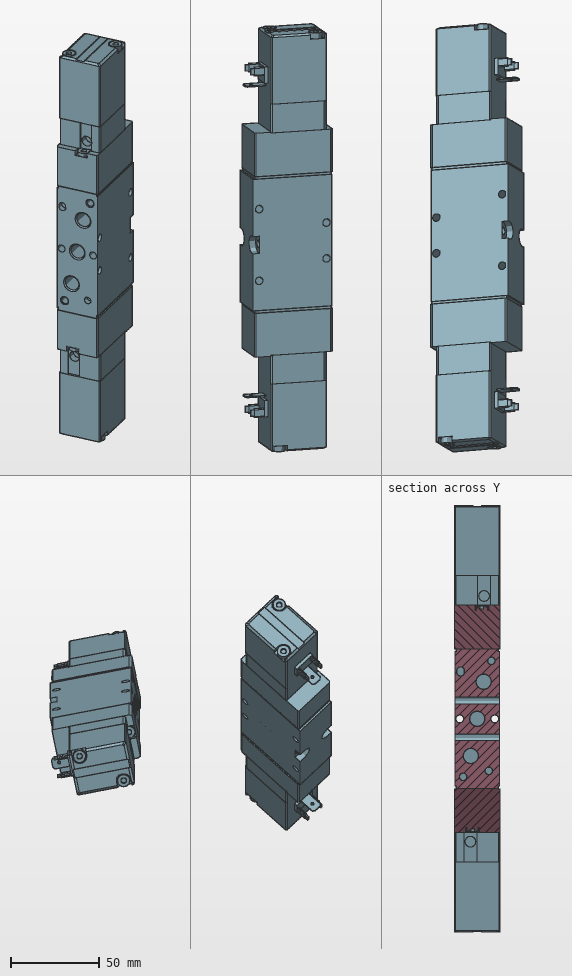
import cadquery as cq

OVERALL_LENGTH = 242.0
HALF_LENGTH = OVERALL_LENGTH / 2

VALVE_WIDTH = 25.5
VALVE_FRONT_Y = -23.7
VALVE_BACK_Y = 23.0
VALVE_HALF_LENGTH = 38.2
NECK_WIDTH = 24.0
NECK_BACK_Y = 21.8

PORT_DIAMETER = 8.5
PORT_CHAMFER = 0.7
PORT_DEPTH = 12.0
PORT_SHIFT_X = 3.6
PORT_PITCH_Z = 21.0

PILOT_PORT_DIAMETER = 4.0
PILOT_PORT_CHAMFER = 0.5
PILOT_PORT_DEPTH = 7.3
PILOT_PORT_X = 8.0
PILOT_PORT_Z = 33.0

LOCATOR_DIAMETER = 4.0
LOCATOR_DEPTH = 3.6
LOCATOR_SLOT_LENGTH = 5.0
LOCATOR_SLOT_X = -9.5
LOCATOR_SLOT_Z = 26.9
LOCATOR_HOLE_X = 6.5
LOCATOR_HOLE_Z = -29.5

MOUNT_HOLE_DIAMETER = 4.4
FRONT_MOUNT_X = 10.0
SIDE_MOUNT_FRONT = (-20.5, 10.5)
SIDE_MOUNT_BACK = (19.4, 20.8)

RECESS_WIDTH = 10.0
RECESS_DEPTH = 3.9

PILOT_WIDTH = 26.0
BASE_START_Z = 39.7
BASE_END_Z = 64.5
BASE_FRONT_Y = -24.2
BASE_BACK_Y = 22.0
BASE_BACK_CHAMFER = 0.7
FRONT_CHAMFER_X = 0.7
FRONT_CHAMFER_Y = 1.5
LEDGE_RISE = 0.5

COIL_START_Z = 81.3
COIL_FRONT_Y = -20.8
COIL_BACK_Y = 12.3
COIL_CENTRE_Y = (COIL_FRONT_Y + COIL_BACK_Y) / 2
COIL_EDGE_CHAMFER = 0.7
COIL_END_CHAMFER = 1.0
COIL_END_INSET = 1.5
COLLAR_WIDTH = 25.7
COLLAR_FRONT_Y = -20.5
END_GROOVE_WIDTH = 5.0
END_GROOVE_DEPTH = 0.5

OVERRIDE_GROOVE_X = 3.9
OVERRIDE_GROOVE_WIDTH = 7.3
OVERRIDE_GROOVE_DEPTH = 1.2
OVERRIDE_DIAMETER = 6.0
OVERRIDE_DEPTH = 4.8
OVERRIDE_Z = 69.7

SCREW_HEAD_DIAMETER = 7.0
SCREW_SOCKET_DIAMETER = 3.1
SCREW_SOCKET_DEPTH = 1.5
COIL_SCREW_X = 9.5
COIL_SCREW_OFFSET_Y = 11.0
COIL_POCKET_WIDTH = 8.2
COIL_POCKET_DEPTH = 3.5
BASE_SCREW_X = 2.7
BASE_SCREW_Y = -20.5
BASE_POCKET_WIDTH = 7.5
BASE_POCKET_DEPTH = 3.0
BASE_SCREW_HEIGHT = 2.2

PAD_WIDTH = 12.5
PAD_BACK_Y = 14.3
PAD_START_Z = 92.2
PIN_Z = 99.2
PIN_X = 5.3
PIN_THICKNESS = 1.7
PIN_HEIGHT = 5.0
PIN_CHAMFER = 0.6
PIN_SHOULDER_Y = 20.0
PIN_TIP_Y = 22.3
PIN_TIP_HEIGHT = 3.6
PIN_TIP_THICKNESS = 1.0
EARTH_WIDTH = 6.5
EARTH_TIP_WIDTH = 3.6
EARTH_TIP_Y = 24.5
EARTH_SHOULDER_Y = 23.5
EARTH_Z = 90.3
EARTH_THICKNESS = 0.7
EARTH_HOLE_DIAMETER = 1.6
EARTH_HOLE_Y = 20.3


def box(x_range, y_range, z_range):
    """Box filling the given ranges."""
    sizes = [high - low for low, high in (x_range, y_range, z_range)]
    corner = (x_range[0], y_range[0], z_range[0])
    return cq.Workplane("XY").box(*sizes, centered=False).translate(corner)


def centred(width, centre=0.0):
    """Range of the given width about a centre."""
    return (centre - width / 2, centre + width / 2)


def cylinder(diameter, start, direction, length):
    """Round bar from a start point along a direction."""
    solid = cq.Solid.makeCylinder(diameter / 2, length, cq.Vector(*start), cq.Vector(*direction))
    return cq.Workplane(obj=solid)


def front_hole(x, z, diameter, depth, chamfer=0.0):
    """Cutter for a hole from the valve's port face, with an optional countersink."""
    start = (x, VALVE_FRONT_Y, z)
    cutter = cylinder(diameter, start, (0, 1, 0), depth)
    if chamfer:
        radius = diameter / 2
        cone = cq.Solid.makeCone(
            radius + chamfer, radius, chamfer, cq.Vector(*start), cq.Vector(0, 1, 0)
        )
        cutter = cutter.union(cq.Workplane(obj=cone))
    return cutter


def make_valve():
    """Valve block with its end necks, ports, mounting holes and back recesses."""
    x_range = centred(VALVE_WIDTH)
    left = x_range[0]
    valve = box(x_range, (VALVE_FRONT_Y, VALVE_BACK_Y), (-VALVE_HALF_LENGTH, VALVE_HALF_LENGTH))
    valve = valve.union(
        box(centred(NECK_WIDTH), (VALVE_FRONT_Y, NECK_BACK_Y), (-BASE_START_Z, BASE_START_Z))
    )

    for step in (-1, 0, 1):
        valve = valve.cut(
            front_hole(step * PORT_SHIFT_X, step * PORT_PITCH_Z, PORT_DIAMETER, PORT_DEPTH, PORT_CHAMFER)
        )
    for side in (-1, 1):
        valve = valve.cut(
            front_hole(
                side * PILOT_PORT_X,
                side * PILOT_PORT_Z,
                PILOT_PORT_DIAMETER,
                PILOT_PORT_DEPTH,
                PILOT_PORT_CHAMFER,
            )
        )

    half_travel = (LOCATOR_SLOT_LENGTH - LOCATOR_DIAMETER) / 2
    slot_z = (LOCATOR_SLOT_Z - half_travel, LOCATOR_SLOT_Z + half_travel)
    valve = valve.cut(
        box(
            centred(LOCATOR_DIAMETER, LOCATOR_SLOT_X),
            (VALVE_FRONT_Y, VALVE_FRONT_Y + LOCATOR_DEPTH),
            slot_z,
        )
    )
    for z in slot_z:
        valve = valve.cut(front_hole(LOCATOR_SLOT_X, z, LOCATOR_DIAMETER, LOCATOR_DEPTH))
    valve = valve.cut(front_hole(LOCATOR_HOLE_X, LOCATOR_HOLE_Z, LOCATOR_DIAMETER, LOCATOR_DEPTH))

    for side in (-1, 1):
        valve = valve.cut(
            front_hole(side * FRONT_MOUNT_X, 0, MOUNT_HOLE_DIAMETER, VALVE_BACK_Y - VALVE_FRONT_Y)
        )
        for y, z in (SIDE_MOUNT_FRONT, SIDE_MOUNT_BACK):
            valve = valve.cut(
                cylinder(MOUNT_HOLE_DIAMETER, (left, y, side * z), (1, 0, 0), VALVE_WIDTH)
            )

    recess_floor_y = VALVE_BACK_Y - RECESS_DEPTH
    for side in (-1, 1):
        x = side * FRONT_MOUNT_X
        x_range = tuple(sorted((x, side * VALVE_WIDTH / 2)))
        recess = box(x_range, (recess_floor_y, VALVE_BACK_Y), centred(RECESS_WIDTH))
        round_end = cylinder(RECESS_WIDTH, (x, recess_floor_y, 0), (0, 1, 0), RECESS_DEPTH)
        valve = valve.cut(recess).cut(round_end)
    return valve


def chamfer_front_edges(block):
    """Bevel the upright front edges, deeper along Y than along X."""
    bounds = block.val().BoundingBox()
    half_width = bounds.xmax
    front = bounds.ymin
    for side in (-1, 1):
        bevel = (
            cq.Workplane("XY", origin=(0, 0, bounds.zmin))
            .polyline([
                (side * half_width, front),
                (side * (half_width - FRONT_CHAMFER_X), front),
                (side * half_width, front + FRONT_CHAMFER_Y),
            ])
            .close()
            .extrude(bounds.zmax - bounds.zmin)
        )
        block = block.cut(bevel)
    return block


def make_base():
    """Wide block of the operator that meets the valve."""
    x_range = centred(PILOT_WIDTH)
    base = box(x_range, (BASE_FRONT_Y, BASE_BACK_Y), (BASE_START_Z, BASE_END_Z))
    ledge = box(x_range, (COIL_BACK_Y, BASE_BACK_Y), (BASE_END_Z, BASE_END_Z + LEDGE_RISE))
    base = base.union(ledge)
    base = base.edges("|Z and >Y").chamfer(BASE_BACK_CHAMFER)
    return chamfer_front_edges(base)


def make_collar():
    """Block between base and coil, with the manual override in a front groove."""
    collar = box(centred(COLLAR_WIDTH), (COLLAR_FRONT_Y, COIL_BACK_Y), (BASE_END_Z, COIL_START_Z))
    collar = collar.edges("|Z and >Y").chamfer(COIL_EDGE_CHAMFER)
    collar = chamfer_front_edges(collar)
    groove_floor_y = COLLAR_FRONT_Y + OVERRIDE_GROOVE_DEPTH
    groove = box(
        centred(OVERRIDE_GROOVE_WIDTH, OVERRIDE_GROOVE_X),
        (COLLAR_FRONT_Y, groove_floor_y),
        (BASE_END_Z, COIL_START_Z),
    )
    override = cylinder(
        OVERRIDE_DIAMETER, (OVERRIDE_GROOVE_X, groove_floor_y, OVERRIDE_Z), (0, 1, 0), OVERRIDE_DEPTH
    )
    return collar.cut(groove).cut(override)


def coil_outline(inset=0.0):
    """Points of the coil's corner-cut rectangle, moved inward by the inset."""
    half_x = PILOT_WIDTH / 2 - inset
    half_y = (COIL_BACK_Y - COIL_FRONT_Y) / 2 - inset
    cut_x = half_x - COIL_EDGE_CHAMFER
    cut_y = half_y - COIL_EDGE_CHAMFER
    return [
        (half_x, -cut_y), (half_x, cut_y), (cut_x, half_y), (-cut_x, half_y),
        (-half_x, cut_y), (-half_x, -cut_y), (-cut_x, -half_y), (cut_x, -half_y),
    ]


def make_coil():
    """Coil housing with chamfered edges and a shallow groove across its end."""
    shoulder_z = HALF_LENGTH - COIL_END_CHAMFER
    coil = (
        cq.Workplane("XY", origin=(0, COIL_CENTRE_Y, COIL_START_Z))
        .polyline(coil_outline())
        .close()
        .extrude(shoulder_z - COIL_START_Z)
    )
    end_cap = (
        cq.Workplane("XY", origin=(0, COIL_CENTRE_Y, shoulder_z))
        .polyline(coil_outline())
        .close()
        .workplane(offset=COIL_END_CHAMFER)
        .polyline(coil_outline(COIL_END_INSET))
        .close()
        .loft(ruled=True)
    )
    coil = coil.union(end_cap)
    groove = box(
        centred(END_GROOVE_WIDTH),
        (COIL_FRONT_Y, COIL_BACK_Y),
        (HALF_LENGTH - END_GROOVE_DEPTH, HALF_LENGTH),
    )
    return coil.cut(groove)


def screw_pocket(x, y, floor_z, width, depth, open_side):
    """Cutter for a round pocket that opens straight out through one side, given as an XY direction."""
    pocket = cylinder(width, (x, y, floor_z), (0, 0, 1), depth)
    side_x, side_y = open_side
    slot = cq.Workplane("XY").box(
        PILOT_WIDTH if side_x else width, PILOT_WIDTH if side_y else width, depth
    )
    slot_centre = (
        x + side_x * PILOT_WIDTH / 2, y + side_y * PILOT_WIDTH / 2, floor_z + depth / 2
    )
    return pocket.union(slot.translate(slot_centre))


def screw_head(x, y, floor_z, height):
    """Cylinder head with a round socket, standing on a pocket floor."""
    head = cylinder(SCREW_HEAD_DIAMETER, (x, y, floor_z), (0, 0, 1), height)
    socket_start = (x, y, floor_z + height)
    return head.cut(cylinder(SCREW_SOCKET_DIAMETER, socket_start, (0, 0, -1), SCREW_SOCKET_DEPTH))


def make_terminals():
    """Connector pad, two flat pins and the earth blade on the back of the coil."""
    pin_top_z = PIN_Z + PIN_HEIGHT / 2
    terminals = box(centred(PAD_WIDTH), (COIL_BACK_Y, PAD_BACK_Y), (PAD_START_Z, pin_top_z))
    for side in (-1, 1):
        x = side * PIN_X
        shank = box(
            centred(PIN_THICKNESS, x), (COIL_BACK_Y, PIN_SHOULDER_Y), centred(PIN_HEIGHT, PIN_Z)
        )
        shank = shank.edges("|Y").chamfer(PIN_CHAMFER)
        tip = box(
            centred(PIN_TIP_THICKNESS, x), (PIN_SHOULDER_Y, PIN_TIP_Y), centred(PIN_TIP_HEIGHT, PIN_Z)
        )
        terminals = terminals.union(shank).union(tip)

    half_blade = EARTH_WIDTH / 2
    half_tip = EARTH_TIP_WIDTH / 2
    blade = (
        cq.Workplane("XY", origin=(0, 0, EARTH_Z - EARTH_THICKNESS / 2))
        .polyline([
            (-half_blade, COIL_BACK_Y),
            (half_blade, COIL_BACK_Y),
            (half_blade, EARTH_SHOULDER_Y),
            (half_tip, EARTH_TIP_Y),
            (-half_tip, EARTH_TIP_Y),
            (-half_blade, EARTH_SHOULDER_Y),
        ])
        .close()
        .extrude(EARTH_THICKNESS)
    )
    hole_start = (0, EARTH_HOLE_Y, EARTH_Z - EARTH_THICKNESS / 2)
    hole = cylinder(EARTH_HOLE_DIAMETER, hole_start, (0, 0, 1), EARTH_THICKNESS)
    return terminals, blade.cut(hole)


def make_pilot():
    """Upper pilot operator: base, collar and coil with screws and terminals."""
    base_floor_z = BASE_END_Z - BASE_POCKET_DEPTH
    base_pocket = screw_pocket(
        BASE_SCREW_X, BASE_SCREW_Y, base_floor_z, BASE_POCKET_WIDTH, BASE_POCKET_DEPTH, (0, -1)
    )
    pilot = make_base().cut(base_pocket)
    pilot = pilot.union(screw_head(BASE_SCREW_X, BASE_SCREW_Y, base_floor_z, BASE_SCREW_HEIGHT))
    pilot = pilot.union(make_collar())

    coil = make_coil()
    coil_floor_z = HALF_LENGTH - COIL_POCKET_DEPTH
    for side in (-1, 1):
        x = side * COIL_SCREW_X
        y = COIL_CENTRE_Y + side * COIL_SCREW_OFFSET_Y
        pocket = screw_pocket(x, y, coil_floor_z, COIL_POCKET_WIDTH, COIL_POCKET_DEPTH, (side, 0))
        coil = coil.cut(pocket).union(screw_head(x, y, coil_floor_z, COIL_POCKET_DEPTH))
    pilot = pilot.union(coil)
    for terminal in make_terminals():
        pilot = pilot.union(terminal)
    return pilot


valve = make_valve()
upper_pilot = make_pilot()
pilots = [upper_pilot.rotate((0, 0, 0), (0, 1, 0), angle).val() for angle in (0, 180)]

result = cq.Compound.makeCompound([valve.val(), *pilots])